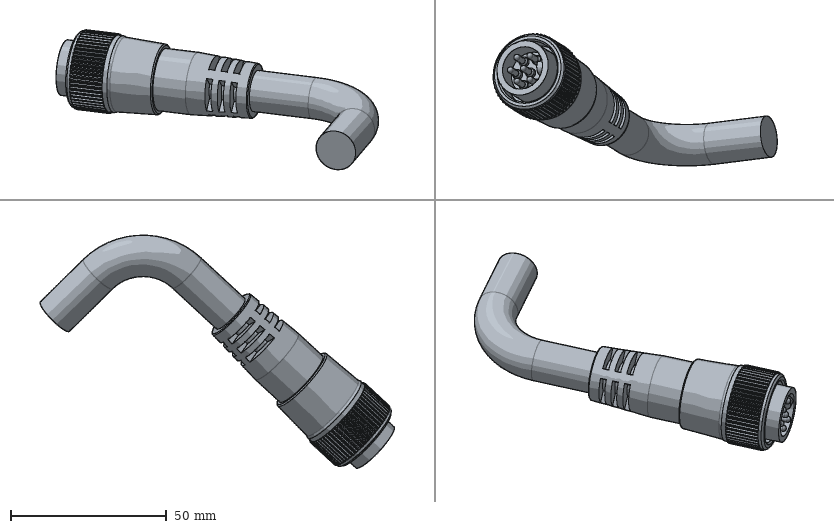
import cadquery as cq
import math

eighth_turn = math.sqrt(0.5)


carrier_front = 0.3
carrier_radius = 9.0
socket_radius = 7.0
socket_floor = 7.2
grip_radius = 10.1
grip_start = 11.1
taper_start = 44.3
taper_end = 64.8
taper_end_radius = 8.9
end_chamfer = 0.3

key_inner_edge = 4.8
key_half_width = 2.3
key_front = 0.8

slot_first = 50.7
slot_width = 2.0
slot_pitch = 4.1
slot_count = 3
slot_core_radius = 5.3
bridge_width = 3.2
bridge_angles = (45, -45)

cable_radius = 6.7
bend_radius = 20.0
bend_start = 84.6
cable_end_y = -40.0

nut_front = 4.5
nut_rear = 33.4
nut_lead_in = 0.6
nut_front_radius = 11.7
nut_collar_radius = 12.5
nut_front_chamfer_end = 5.1
nut_cone_start = 19.5
nut_cone_start_radius = 12.1
nut_cone_end_radius = 11.5
nut_rear_chamfer = 0.5
collar_rear = 18.6

knurl_start = 6.1
knurl_end = 17.0
knurl_radius = 12.9
groove_count = 55
groove_top_width = 1.1
groove_floor_width = 0.3

pin_radius = 1.0
pin_step_start = 5.3
pin_step_end = 6.1
pin_root_radius = 1.5
pin_ring_radius = 4.6
pin_root_end = 13.4
ring_places = 6
key_place_angle = 180.0


def revolve_about_x(points):
    """Revolve a closed (x, radius) outline about the X axis."""
    return cq.Workplane("XY").polyline(points).close().revolve(360, (0, 0, 0), (1, 0, 0))


def disc(radius, start, end):
    """Cylinder on the X axis from start to end."""
    return cq.Workplane("YZ", origin=(start, 0, 0)).circle(radius).extrude(end - start)


def pin_centres():
    """(y, z) centres of the contact pins."""
    centres = [(0.0, 0.0)]
    for place in range(1, ring_places):
        angle = math.radians(key_place_angle + place * 360 / ring_places)
        centres.append((pin_ring_radius * math.cos(angle), pin_ring_radius * math.sin(angle)))
    return centres


def make_pin(y, z):
    """Round pin with a domed tip and a conical step up to a thicker root."""
    dome_middle = pin_radius * eighth_turn
    profile = (
        cq.Workplane("XY")
        .moveTo(0, 0)
        .threePointArc((pin_radius - dome_middle, dome_middle), (pin_radius, pin_radius))
        .lineTo(pin_step_start, pin_radius)
        .lineTo(pin_step_end, pin_root_radius)
        .lineTo(pin_root_end, pin_root_radius)
        .lineTo(pin_root_end, 0)
        .close()
    )
    return profile.revolve(360, (0, 0, 0), (1, 0, 0)).translate((0, y, z))


def make_shell():
    """Contact carrier, grip and tapered strain relief as one turned shape."""
    return revolve_about_x([
        (carrier_front, 0),
        (carrier_front, carrier_radius),
        (grip_start, carrier_radius),
        (grip_start, grip_radius),
        (taper_start, grip_radius),
        (taper_end - end_chamfer, taper_end_radius),
        (taper_end, taper_end_radius - end_chamfer),
        (taper_end, 0),
    ])


def make_key():
    """Key along the socket wall with a fully rounded nose."""
    nose_centre = key_front + key_half_width
    profile = (
        cq.Workplane("XZ", origin=(0, -key_inner_edge, 0))
        .moveTo(socket_floor, -key_half_width)
        .lineTo(nose_centre, -key_half_width)
        .threePointArc((key_front, 0), (nose_centre, key_half_width))
        .lineTo(socket_floor, key_half_width)
        .close()
    )
    key = profile.extrude(carrier_radius - key_inner_edge)
    return key.intersect(disc(socket_radius, carrier_front, socket_floor))


def make_slot(start):
    """Ring-shaped gap interrupted by two crossed diagonal bars."""
    end = start + slot_width
    gap = disc(grip_radius, start, end).cut(disc(slot_core_radius, start, end))
    for angle in bridge_angles:
        bar = (
            cq.Workplane("XY")
            .box(slot_width, 2 * grip_radius, bridge_width)
            .rotate((0, 0, 0), (1, 0, 0), angle)
            .translate((start + slot_width / 2, 0, 0))
        )
        gap = gap.cut(bar)
    return gap


def make_cable():
    """Round cable that bends a quarter turn toward -Y."""
    bend_end_x = bend_start + bend_radius
    mid_x = bend_start + bend_radius * eighth_turn
    mid_y = -bend_radius * (1 - eighth_turn)
    path = (
        cq.Workplane("XY")
        .moveTo(taper_end, 0)
        .lineTo(bend_start, 0)
        .threePointArc((mid_x, mid_y), (bend_end_x, -bend_radius))
        .lineTo(bend_end_x, cable_end_y)
    )
    return cq.Workplane("YZ", origin=(taper_end, 0, 0)).circle(cable_radius).sweep(path)


def make_cordset():
    """Carrier, overmould and cable, with the socket, key, slots and pin holes."""
    body = make_shell().cut(disc(socket_radius, carrier_front, socket_floor)).union(make_key())
    for index in range(slot_count):
        body = body.cut(make_slot(slot_first + index * slot_pitch))
    body = body.union(make_cable())
    for y, z in pin_centres():
        body = body.cut(make_pin(y, z))
    return body


def make_groove(angle):
    """Knurl groove with sloping sides, cut down to the collar radius."""
    groove = (
        cq.Workplane("YZ", origin=(knurl_start, 0, 0))
        .polyline([
            (nut_collar_radius, -groove_floor_width / 2),
            (knurl_radius, -groove_top_width / 2),
            (knurl_radius, groove_top_width / 2),
            (nut_collar_radius, groove_floor_width / 2),
        ])
        .close()
        .extrude(knurl_end - knurl_start)
    )
    return groove.rotate((0, 0, 0), (1, 0, 0), angle).val()


def make_nut():
    """Knurled coupling nut with a conical rear sleeve."""
    nut = revolve_about_x([
        (nut_front, grip_radius + nut_lead_in),
        (nut_front, nut_front_radius),
        (nut_front_chamfer_end, nut_collar_radius),
        (knurl_start, nut_collar_radius),
        (knurl_start, knurl_radius),
        (knurl_end, knurl_radius),
        (knurl_end, nut_collar_radius),
        (collar_rear, nut_collar_radius),
        (nut_cone_start, nut_cone_start_radius),
        (nut_rear - nut_rear_chamfer, nut_cone_end_radius),
        (nut_rear, nut_cone_end_radius - nut_rear_chamfer),
        (nut_rear, grip_radius),
        (nut_front + nut_lead_in, grip_radius),
    ])
    grooves = [make_groove(index * 360 / groove_count) for index in range(groove_count)]
    return nut.cut(cq.Workplane(obj=cq.Compound.makeCompound(grooves)))


cordset = make_cordset()
nut = make_nut()
pins = [make_pin(y, z) for y, z in pin_centres()]

result = cq.Compound.makeCompound([cordset.val(), nut.val(), *[pin.val() for pin in pins]])